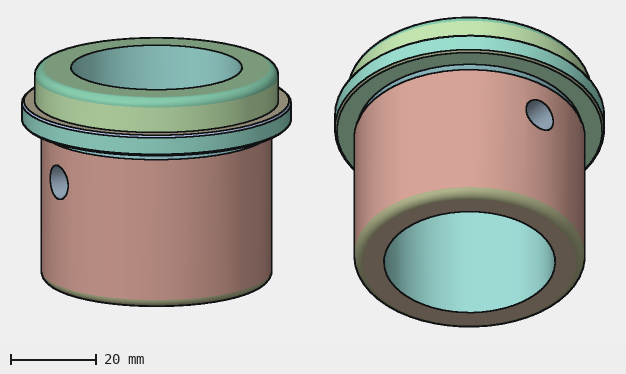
import cadquery as cq

height = 51.0
bore_diameter = 40.0
body_diameter = 54.0
collar_diameter = 57.0
flange_diameter = 63.0
flange_bottom = 38.0
flange_thickness = 5.0
flange_chamfer = 0.5
end_rounding = 2.0
relief_height = 2.0
relief_depth = 0.6
hole_diameter = 8.0
hole_height = 27.0

body_radius = body_diameter / 2
flange_top = flange_bottom + flange_thickness


def ring(diameter, bottom, top):
    """Solid disc about Z between two heights."""
    return cq.Workplane("XY").workplane(offset=bottom).circle(diameter / 2).extrude(top - bottom)


def relief_groove():
    """Undercut beneath the flange: an arc that leaves the flange
    parallel to Z and flares out to the body.
    """
    neck_radius = body_radius - relief_depth
    flare_radius = (relief_height**2 + relief_depth**2) / (2 * relief_depth)
    return (
        cq.Workplane("XZ")
        .moveTo(neck_radius, flange_bottom)
        .radiusArc((body_radius, flange_bottom - relief_height), -flare_radius)
        .lineTo(body_radius, flange_bottom)
        .close()
        .revolve(360, (0, 0, 0), (0, 1, 0))
    )


def radial_hole():
    """Cross hole from the bore out through the -Y wall only."""
    return (
        cq.Workplane("XZ")
        .center(0, hole_height)
        .circle(hole_diameter / 2)
        .extrude(body_radius)
    )


body = ring(body_diameter, 0, flange_bottom).faces("<Z").edges().fillet(end_rounding)
body = body.cut(relief_groove())
flange = ring(flange_diameter, flange_bottom, flange_top).edges().chamfer(flange_chamfer)
collar = ring(collar_diameter, flange_top, height).faces(">Z").edges().fillet(end_rounding)
bore = ring(bore_diameter, 0, height)

result = body.union(flange).union(collar).cut(bore).cut(radial_hole())